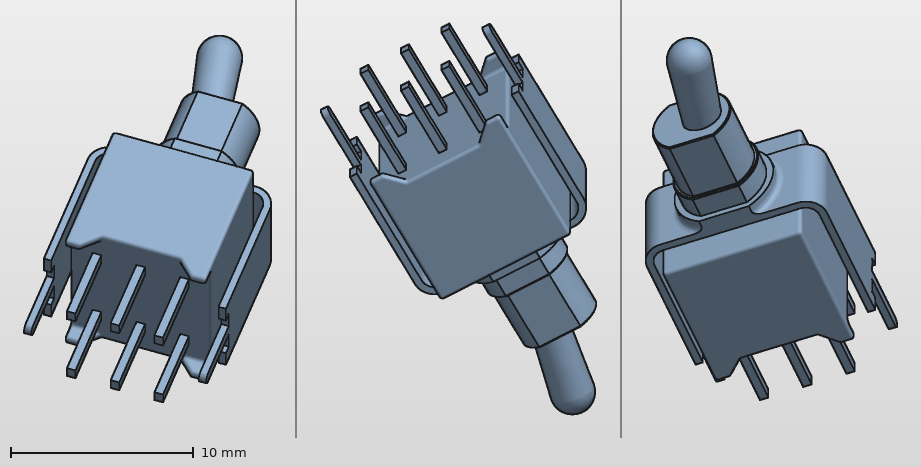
import cadquery as cq
import math


case_width = 8.15
case_height = 9.1
case_length = 8.1
case_round = 0.2
floor_depth = 7.13
tab_thickness = 0.5
notch_half_width = 2.26

pin_width = 0.5
pin_height = 0.7
pin_pitch = 2.54
pin_tip_depth = 11.42
pin_root = 0.2

bracket_span = 10.55
bracket_height = 5.0
sheet = 0.43
bend_radius = 1.25
shoulder_depth = 8.1
leg_notch_depth = 7.63
leg_notch_reach = 1.45
leg_pin_width = 0.75

seat_diameter = 5.8
seat_top = 1.18
seat_flare = 0.35

collar_diameter = 5.0
collar_flats = 4.21
collar_top = 2.47
bushing_diameter = 4.6
bushing_flats = 3.8
bushing_top = 6.1
rim_chamfer = 0.07

lever_tip = 11.23
lever_radius = 1.25
lever_pivot = 3.08
lever_tilt = 11.5
lever_taper = 2.0


def box(x_size, y_low, y_high, z_size):
    """Box centred on the Y axis between two Y positions."""
    return cq.Workplane("XY").box(x_size, y_high - y_low, z_size).translate((0, (y_low + y_high) / 2, 0))


def cylinder(diameter, y_low, y_high):
    """Cylinder along the Y axis between two Y positions."""
    return cq.Workplane("XZ", origin=(0, y_high, 0)).circle(diameter / 2).extrude(y_high - y_low)


def make_case():
    """Rounded block whose rear end keeps four thin corner tabs with 45-degree flanks."""
    tab_length = case_length - floor_depth
    notch_mouth = notch_half_width + tab_length
    case = box(case_width, -case_length, 0, case_height)
    between_tabs = box(case_width, -case_length, -floor_depth, case_height - 2 * tab_thickness)
    notch = (
        cq.Workplane("XY")
        .polyline([
            (-notch_mouth, -case_length),
            (-notch_half_width, -floor_depth),
            (notch_half_width, -floor_depth),
            (notch_mouth, -case_length),
        ])
        .close()
        .extrude(case_height / 2, both=True)
    )
    return case.cut(between_tabs).cut(notch).edges().fillet(case_round)


def make_pins():
    """Two rows of three straight terminals rooted in the terminal face."""
    pin = box(pin_width, -pin_tip_depth, pin_root - floor_depth, pin_height)
    pins = cq.Workplane("XY")
    for column in (-1, 0, 1):
        for row in (-1, 1):
            pins = pins.add(pin.translate((column * pin_pitch, 0, row * pin_pitch)))
    return pins.combine()


def make_bracket():
    """Bent U strip whose legs end in two shoulders and a central rounded solder pin."""
    outer = (
        box(bracket_span, -pin_tip_depth, sheet, bracket_height)
        .edges(">Y and |Z").fillet(bend_radius)
    )
    inner = (
        box(bracket_span - 2 * sheet, -pin_tip_depth, 0, bracket_height)
        .edges(">Y and |Z").fillet(bend_radius - sheet)
    )
    leg_sheet = box(bracket_span, -shoulder_depth, sheet, bracket_height)
    leg_notches = box(bracket_span, -shoulder_depth, -leg_notch_depth, 2 * leg_notch_reach)
    leg_pin_radius = leg_pin_width / 2
    round_centre = leg_pin_radius - pin_tip_depth
    leg_pins = box(bracket_span, round_centre, -leg_notch_depth, leg_pin_width)
    leg_pin_ends = (
        cq.Workplane("YZ", origin=(0, round_centre, 0))
        .circle(leg_pin_radius)
        .extrude(bracket_span / 2, both=True)
    )
    side_outline = leg_sheet.cut(leg_notches).union(leg_pins).union(leg_pin_ends)
    return outer.cut(inner).intersect(side_outline)


def make_seat():
    """Round seat flaring into the bracket, trimmed to the bracket strip."""
    radius = seat_diameter / 2
    flare_top = sheet + seat_flare
    arc_offset = seat_flare * (1 - math.sqrt(0.5))
    profile = (
        cq.Workplane("XY")
        .moveTo(0, 0)
        .lineTo(radius + seat_flare, 0)
        .lineTo(radius + seat_flare, sheet)
        .threePointArc((radius + arc_offset, sheet + arc_offset), (radius, flare_top))
        .lineTo(radius, seat_top)
        .lineTo(0, seat_top)
        .close()
    )
    seat = profile.revolve(360, (0, 0, 0), (0, 1, 0))
    return seat.intersect(box(bracket_span, 0, seat_top, bracket_height))


def make_flatted_barrel(diameter, across_flats, y_low, y_high):
    """Chamfered cylinder with two parallel flats."""
    barrel = cylinder(diameter, y_low, y_high).intersect(box(diameter, y_low, y_high, across_flats))
    return barrel.faces(">Y").chamfer(rim_chamfer)


def make_lever():
    """Tapered round lever with a ball end, leaning toward -X."""
    ball_height = lever_tip - lever_radius
    arm = (ball_height - lever_pivot) / math.cos(math.radians(lever_tilt))
    root_radius = lever_radius - arm * math.tan(math.radians(lever_taper))
    diagonal = lever_radius * math.sqrt(0.5)
    lever = (
        cq.Workplane("XY")
        .moveTo(0, 0)
        .lineTo(root_radius, 0)
        .lineTo(lever_radius, arm)
        .threePointArc((diagonal, arm + diagonal), (0, arm + lever_radius))
        .close()
        .revolve(360, (0, 0, 0), (0, 1, 0))
    )
    return lever.rotate((0, 0, 0), (0, 0, 1), lever_tilt).translate((0, lever_pivot, 0))


collar = make_flatted_barrel(collar_diameter, collar_flats, seat_top, collar_top)
bushing = make_flatted_barrel(bushing_diameter, bushing_flats, collar_top, bushing_top)

result = (
    make_case()
    .union(make_pins())
    .union(make_bracket())
    .union(make_seat())
    .union(collar)
    .union(bushing)
    .union(make_lever())
)